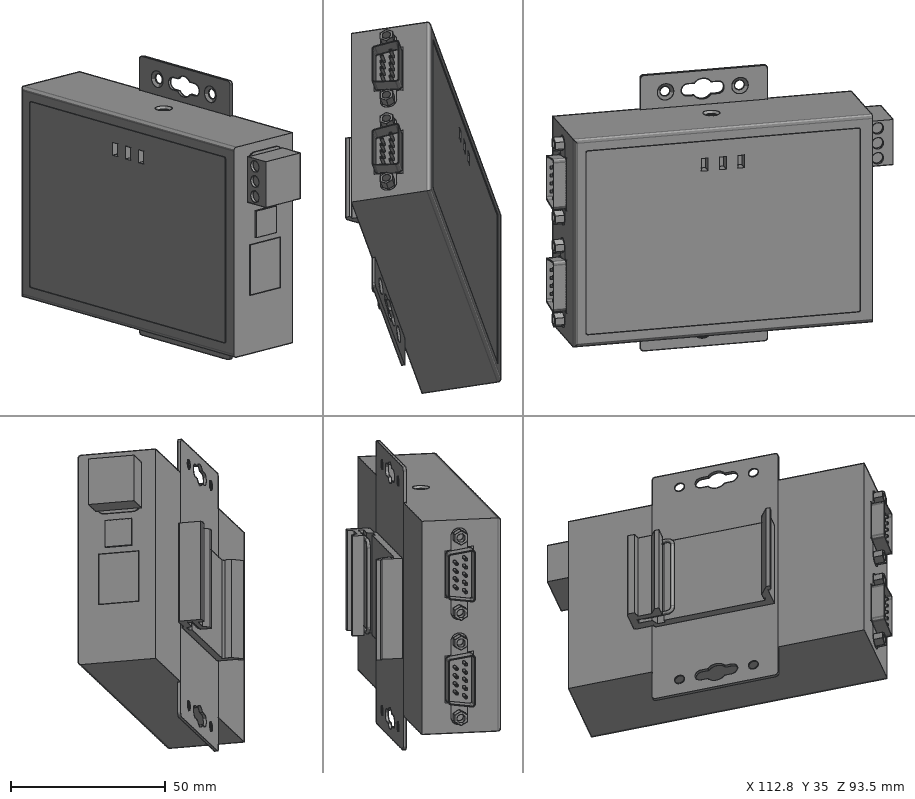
import cadquery as cq
import math


HOUSING_LENGTH = 99.9
HOUSING_DEPTH = 26.2
HOUSING_HEIGHT = 70.5
HOUSING_EDGE_RADIUS = 1.1
LEFT_FACE = -HOUSING_LENGTH / 2
RIGHT_FACE = HOUSING_LENGTH / 2
FRONT_FACE = -HOUSING_DEPTH

LABEL_MARGIN = 4.1
LABEL_CORNER_RADIUS = 0.7
LABEL_DEPTH = 0.3

WINDOW_COUNT = 3
WINDOW_PITCH = 6.1
WINDOW_WIDTH = 2.3
WINDOW_HEIGHT = 4.3
WINDOW_DEPTH = 3.4
WINDOW_Z = 23.1

SCREW_HOLE_DIAMETER = 3.3
COUNTERSINK_DIAMETER = 5.5
COUNTERSINK_ANGLE = 120
TOP_SCREW_X = 0.3
TOP_SCREW_Y = -10.3
TOP_SCREW_DEPTH = 1.0

SOCKET_Y = -12.4
JACK_SIZE = 8.9
JACK_PROTRUSION = 0.8
JACK_Z = 7.9
NETWORK_LENGTH = 16.9
NETWORK_WIDTH = 13.5
NETWORK_PROTRUSION = 0.3
NETWORK_Z = -7.1

TERMINAL_LENGTH = 8.6
TERMINAL_DEPTH = 15.3
TERMINAL_HEIGHT = 15.3
TERMINAL_Z = 23.5
TERMINAL_RIM_THICKNESS = 0.3
TERMINAL_RIM_DEPTH = 14.9
TERMINAL_RIM_HEIGHT = 17.4
TERMINAL_RIM_CORNER_RADIUS = 2.7
TERMINAL_SCREW_COUNT = 3
TERMINAL_SCREW_PITCH = 5.1
TERMINAL_SCREW_DIAMETER = 3.8
TERMINAL_SCREW_DEPTH = 1.1
TERMINAL_SCREW_OFFSET = 3.4

PLATE_WIDTH = 42.5
PLATE_HEIGHT = 93.5
PLATE_THICKNESS = 1.0
PLATE_CORNER_RADIUS = 1.1
PLATE_OFFSET_X = 0.5
PLATE_HOLE_Z = 40.6
PLATE_SCREW_SPACING = 24.9
KEYHOLE_SLOT_LENGTH = 14.3
KEYHOLE_SLOT_WIDTH = 4.2
KEYHOLE_DIAMETER = 7.0

CONNECTOR_Y = -12.3
CONNECTOR_Z = 17.4
FACE_WIDTH = 9.5
FACE_LONG_SIDE = 18.0
FACE_SHORT_SIDE = 15.3
FLANGE_THICKNESS = 1.1
NUT_SPACING = 24.9
FLANGE_WIDTH = 5.4
SHELL_SETBACK = 0.28
SHELL_WALL = 0.3
SHELL_PROTRUSION = 4.3
SHELL_CORNER_RADIUS = 1.0
NUT_ACROSS_FLATS = 4.1
NUT_PROTRUSION = 3.0
NUT_BORE = 2.7
PIN_DIAMETER = 1.0
PIN_LENGTH = 3.8
PIN_PITCH = 2.7
PIN_ROW_SPACING = 3.0
SHORT_ROW_PINS = 4
LONG_ROW_PINS = 5
PIN_TIP_CHAMFER = 0.2

CLIP_HEIGHT = 33.0
CLIP_TOP = 8.8
CLIP_FLOOR = 2.4
CLIP_CORNER_CHAMFER = 0.5
FOOT_LEFT = -19.6
FOOT_RIGHT = 20.5
HOOK_LEFT = -20.8
HOOK_TOP_RIGHT = -19.5
HOOK_LIP_BOTTOM = 6.9
HOOK_LIP_CHAMFER = 0.6
HOOK_BULGE_X = -17.0
HOOK_BULGE_TOP = 5.5
HOOK_BULGE_BOTTOM = 3.4
HOOK_NOTCH_X = -17.6
HOOK_NOTCH_Y = 3.2
RELIEF_LEFT = 16.9
RELIEF_RIGHT = 19.4
RELIEF_BOTTOM = 1.4
JAW_LEFT = 16.7
JAW_RIGHT = 27.5
JAW_UNDERSIDE = 0.8
JAW_UNDERSIDE_LEFT = 21.0
SLOT_LEFT = 20.6
SLOT_END = 25.2
SLOT_BOTTOM = 3.4
SLOT_TOP = 5.1
SEAT_TOP_LEFT = 18.2
SEAT_TOP_RIGHT = 24.9
SEAT_FLOOR_LEFT = 19.7
SEAT_FLOOR_RIGHT = 24.4
SEAT_FLOOR = 6.8

WIRE_DIAMETER = 1.2
WIRE_LEFT = 12.9
WIRE_RIGHT = 23.5
WIRE_SPAN = 31.6
WIRE_BEND_RADIUS = 2.0


def box(x_range, y_range, z_range):
    """Box between the given low and high values along each axis."""
    size = [high - low for low, high in (x_range, y_range, z_range)]
    return cq.Workplane("XY").box(*size, centered=False).translate((x_range[0], y_range[0], z_range[0]))


def around(middle, size):
    return (middle - size / 2, middle + size / 2)


def row(count, pitch):
    """Evenly spaced positions centred on zero."""
    return [(index - (count - 1) / 2) * pitch for index in range(count)]


def plate_blank():
    """Round-cornered strip, flush with the housing back."""
    return box(
        around(PLATE_OFFSET_X, PLATE_WIDTH), (-PLATE_THICKNESS, 0), around(0, PLATE_HEIGHT)
    ).edges("|Y").fillet(PLATE_CORNER_RADIUS)


def make_plate():
    """Strip let into the housing back, with an ear standing out above and below."""
    plate = plate_blank()
    for z in (-PLATE_HOLE_Z, PLATE_HOLE_Z):
        face = cq.Workplane("XZ", origin=(0, -PLATE_THICKNESS, z))
        slot = face.slot2D(KEYHOLE_SLOT_LENGTH, KEYHOLE_SLOT_WIDTH).extrude(-PLATE_THICKNESS)
        middle = face.circle(KEYHOLE_DIAMETER / 2).extrude(-PLATE_THICKNESS)
        plate = plate.cut(slot).cut(middle)
    screws = [(x, z) for x in row(2, PLATE_SCREW_SPACING) for z in (-PLATE_HOLE_Z, PLATE_HOLE_Z)]
    return (
        plate.faces("<Y").workplane(origin=(0, -PLATE_THICKNESS, 0))
        .pushPoints(screws)
        .cskHole(SCREW_HOLE_DIAMETER, COUNTERSINK_DIAMETER, COUNTERSINK_ANGLE)
    )


def connector_plane(z):
    """Plane on the left face: local x runs along -Y, local y along Z, and the normal points to -X."""
    plane = cq.Plane(origin=(LEFT_FACE, CONNECTOR_Y, z), xDir=(0, -1, 0), normal=(-1, 0, 0))
    return cq.Workplane(plane)


def shell_outline(z, setback):
    """Four-sided D outline, longer on the -Y side, moved inward by the setback."""
    half = FACE_WIDTH / 2
    outline = connector_plane(z).polyline([
        (-half, -FACE_SHORT_SIDE / 2),
        (half, -FACE_LONG_SIDE / 2),
        (half, FACE_LONG_SIDE / 2),
        (-half, FACE_SHORT_SIDE / 2),
    ]).close()
    return outline.offset2D(-setback) if setback else outline


def connector_flange(z):
    """Mounting flange, sunk flush into the left face."""
    ears = connector_plane(z).slot2D(NUT_SPACING + FLANGE_WIDTH, FLANGE_WIDTH, 90)
    return ears.extrude(-FLANGE_THICKNESS).union(shell_outline(z, 0).extrude(-FLANGE_THICKNESS))


def connector_nut(z):
    """Hexagonal jack nut with a corner pointing up, bored down to the flange."""
    across_corners = NUT_ACROSS_FLATS / math.cos(math.pi / 6)
    upright = connector_plane(z).transformed(rotate=(0, 0, 90))
    return upright.polygon(6, across_corners).circle(NUT_BORE / 2).extrude(NUT_PROTRUSION)


def make_connector(z):
    """Nine-pin plug: flange, hollow shell, two hexagonal nuts and the pins."""
    shell = shell_outline(z, SHELL_SETBACK).extrude(SHELL_PROTRUSION)
    shell = shell.edges("|X").fillet(SHELL_CORNER_RADIUS)
    hollow = shell_outline(z, SHELL_SETBACK + SHELL_WALL).extrude(SHELL_PROTRUSION)
    hollow = hollow.edges("|X").fillet(SHELL_CORNER_RADIUS - SHELL_WALL)

    pin_places = [(-PIN_ROW_SPACING / 2, y) for y in row(SHORT_ROW_PINS, PIN_PITCH)]
    pin_places += [(PIN_ROW_SPACING / 2, y) for y in row(LONG_ROW_PINS, PIN_PITCH)]
    pins = connector_plane(z).pushPoints(pin_places).circle(PIN_DIAMETER / 2).extrude(PIN_LENGTH)
    pins = pins.faces("<X").chamfer(PIN_TIP_CHAMFER)

    connector = connector_flange(z).union(shell.cut(hollow)).union(pins)
    for offset in row(2, NUT_SPACING):
        connector = connector.union(connector_nut(z + offset))
    return connector


def top_screw_recess():
    """Shallow countersunk recess with a flat floor, sunk into the housing top."""
    rim_radius = COUNTERSINK_DIAMETER / 2
    floor_radius = SCREW_HOLE_DIAMETER / 2
    cone_depth = (rim_radius - floor_radius) / math.tan(math.radians(COUNTERSINK_ANGLE / 2))
    top = cq.Vector(TOP_SCREW_X, TOP_SCREW_Y, HOUSING_HEIGHT / 2)
    down = cq.Vector(0, 0, -1)
    cone = cq.Solid.makeCone(rim_radius, floor_radius, cone_depth, top, down)
    well = cq.Solid.makeCylinder(floor_radius, TOP_SCREW_DEPTH, top, down)
    return cq.Workplane(cone.fuse(well))


def make_housing():
    """Box with rounded front edges, recessed for the label, the plate and the connectors."""
    housing = box(around(0, HOUSING_LENGTH), (FRONT_FACE, 0), around(0, HOUSING_HEIGHT))
    housing = housing.edges("<Y and (|X or <X)").fillet(HOUSING_EDGE_RADIUS)

    label_floor = FRONT_FACE + LABEL_DEPTH
    label = box(
        around(0, HOUSING_LENGTH - 2 * LABEL_MARGIN),
        (FRONT_FACE, label_floor),
        around(0, HOUSING_HEIGHT - 2 * LABEL_MARGIN),
    )
    housing = housing.cut(label.edges("|Y").fillet(LABEL_CORNER_RADIUS))

    for x in row(WINDOW_COUNT, WINDOW_PITCH):
        window = box(
            around(x, WINDOW_WIDTH),
            (label_floor, label_floor + WINDOW_DEPTH),
            around(WINDOW_Z, WINDOW_HEIGHT),
        )
        housing = housing.cut(window)

    housing = housing.cut(top_screw_recess())

    jack = box(
        (RIGHT_FACE, RIGHT_FACE + JACK_PROTRUSION), around(SOCKET_Y, JACK_SIZE), around(JACK_Z, JACK_SIZE)
    )
    network = box(
        (RIGHT_FACE, RIGHT_FACE + NETWORK_PROTRUSION),
        around(SOCKET_Y, NETWORK_WIDTH),
        around(NETWORK_Z, NETWORK_LENGTH),
    )
    housing = housing.union(jack).union(network)

    housing = housing.cut(plate_blank())
    for z in (-CONNECTOR_Z, CONNECTOR_Z):
        housing = housing.cut(connector_flange(z))
    return housing


def make_terminal():
    """Block on the right face, with a thin rim at its root and a row of screw wells in front."""
    block = box(
        (RIGHT_FACE, RIGHT_FACE + TERMINAL_LENGTH),
        around(SOCKET_Y, TERMINAL_DEPTH),
        around(TERMINAL_Z, TERMINAL_HEIGHT),
    )
    rim = box(
        (RIGHT_FACE, RIGHT_FACE + TERMINAL_RIM_THICKNESS),
        around(SOCKET_Y, TERMINAL_RIM_DEPTH),
        around(TERMINAL_Z, TERMINAL_RIM_HEIGHT),
    ).edges("|X").fillet(TERMINAL_RIM_CORNER_RADIUS)
    block_front = SOCKET_Y - TERMINAL_DEPTH / 2
    wells = (
        cq.Workplane("XZ", origin=(RIGHT_FACE + TERMINAL_SCREW_OFFSET, block_front, TERMINAL_Z))
        .pushPoints([(0, z) for z in row(TERMINAL_SCREW_COUNT, TERMINAL_SCREW_PITCH)])
        .circle(TERMINAL_SCREW_DIAMETER / 2)
        .extrude(-TERMINAL_SCREW_DEPTH)
    )
    return block.union(rim).cut(wells)


def make_clip():
    """Rail clip of constant section: a fixed hook on the left, and a slotted jaw on the right."""
    chamfer = CLIP_CORNER_CHAMFER
    hook = [
        (FOOT_LEFT, 0),
        (FOOT_LEFT, HOOK_LIP_BOTTOM),
        (HOOK_LEFT + HOOK_LIP_CHAMFER, HOOK_LIP_BOTTOM),
        (HOOK_LEFT, HOOK_LIP_BOTTOM + HOOK_LIP_CHAMFER),
        (HOOK_LEFT, CLIP_TOP),
        (HOOK_TOP_RIGHT, CLIP_TOP),
        (HOOK_BULGE_X, HOOK_BULGE_TOP),
        (HOOK_BULGE_X, HOOK_BULGE_BOTTOM),
        (HOOK_NOTCH_X, HOOK_NOTCH_Y),
        (HOOK_BULGE_X, CLIP_FLOOR),
    ]
    floor = [
        (RELIEF_LEFT, CLIP_FLOOR),
        (RELIEF_LEFT, RELIEF_BOTTOM),
        (RELIEF_RIGHT, RELIEF_BOTTOM),
    ]
    slot = [
        (SLOT_LEFT, SLOT_BOTTOM),
        (SLOT_END, SLOT_BOTTOM),
        (SLOT_END, SLOT_TOP),
        (JAW_LEFT, SLOT_TOP),
    ]
    jaw = [
        (JAW_LEFT, CLIP_TOP),
        (SEAT_TOP_LEFT, CLIP_TOP),
        (SEAT_FLOOR_LEFT, SEAT_FLOOR),
        (SEAT_FLOOR_RIGHT, SEAT_FLOOR),
        (SEAT_TOP_RIGHT, CLIP_TOP),
        (JAW_RIGHT - chamfer, CLIP_TOP),
        (JAW_RIGHT, CLIP_TOP - chamfer),
        (JAW_RIGHT, JAW_UNDERSIDE + chamfer),
        (JAW_RIGHT - chamfer, JAW_UNDERSIDE),
        (JAW_UNDERSIDE_LEFT, JAW_UNDERSIDE),
        (FOOT_RIGHT, 0),
    ]
    outline = hook + floor + slot + jaw
    section = cq.Workplane("XY", origin=(0, 0, -CLIP_HEIGHT / 2)).polyline(outline).close()
    return section.extrude(CLIP_HEIGHT)


def make_spring():
    """U of round wire lying in the jaw slot, with its bridge out in front of the jaw."""
    y = (SLOT_BOTTOM + SLOT_TOP) / 2
    half = (WIRE_SPAN - WIRE_DIAMETER) / 2
    bridge_x = WIRE_LEFT + WIRE_DIAMETER / 2
    bend = WIRE_BEND_RADIUS
    inset = bend * (1 - math.sqrt(0.5))
    path = (
        cq.Workplane("XZ", origin=(0, y, 0))
        .moveTo(WIRE_RIGHT, half)
        .lineTo(bridge_x + bend, half)
        .threePointArc((bridge_x + inset, half - inset), (bridge_x, half - bend))
        .lineTo(bridge_x, bend - half)
        .threePointArc((bridge_x + inset, inset - half), (bridge_x + bend, -half))
        .lineTo(WIRE_RIGHT, -half)
    )
    return cq.Workplane("YZ", origin=(WIRE_RIGHT, y, half)).circle(WIRE_DIAMETER / 2).sweep(path)


housing = make_housing()
plate = make_plate()
clip = make_clip()
spring = make_spring()
terminal = make_terminal()
connectors = [make_connector(z) for z in (-CONNECTOR_Z, CONNECTOR_Z)]

bodies = [housing, plate, clip, spring, terminal, *connectors]
result = cq.Compound.makeCompound([body.solids().val() for body in bodies])